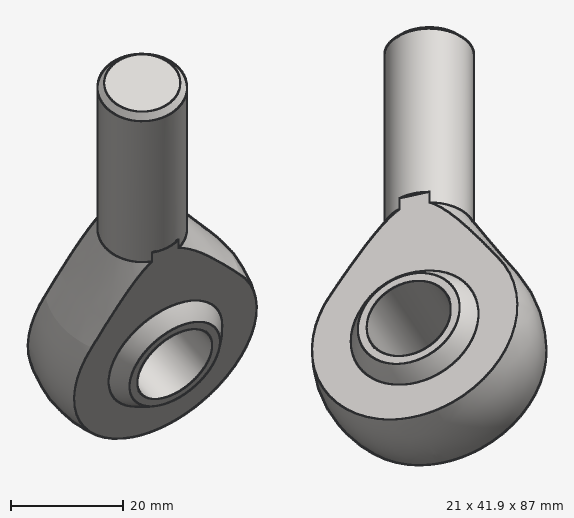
import cadquery as cq
import math

total_height = 87.0
head_diameter = 41.85
head_width = 15.0
ball_width = 21.0
ball_diameter = 28.5
bore_diameter = 16.0
shank_diameter = 16.0
shank_chamfer = 1.2
neck_bottom_z = 32.45
neck_top_z = 47.7
flats_top_z = 50.0

head_radius = head_diameter / 2
shank_radius = shank_diameter / 2
ball_radius = ball_diameter / 2
bore_radius = bore_diameter / 2
eye_z = head_radius
neck_bottom_radius = math.sqrt(head_radius**2 - (neck_bottom_z - eye_z) ** 2)


def make_body():
    """Spherical head, conical neck and chamfered shank turned about Z."""
    return (
        cq.Workplane("XZ")
        .moveTo(0, 0)
        .threePointArc((head_radius, eye_z), (neck_bottom_radius, neck_bottom_z))
        .lineTo(shank_radius, neck_top_z)
        .lineTo(shank_radius, total_height - shank_chamfer)
        .lineTo(shank_radius - shank_chamfer, total_height)
        .lineTo(0, total_height)
        .close()
        .revolve(360, (0, 0), (0, 1))
    )


def cut_flats(body):
    """Trim the head, neck and foot of the shank to two flat faces across X."""
    for side in (-1, 1):
        cutter = cq.Workplane("XY").box(
            head_radius, head_diameter, flats_top_z, centered=(True, True, False)
        )
        body = body.cut(cutter.translate((side * (head_width + head_radius) / 2, 0, 0)))
    return body


def make_ball():
    """Spherical bearing ring around X, flat at both ends and open along the bore."""
    half_width = ball_width / 2
    end_radius = math.sqrt(ball_radius**2 - half_width**2)
    return (
        cq.Workplane("XY")
        .moveTo(-half_width, bore_radius)
        .lineTo(-half_width, end_radius)
        .threePointArc((0, ball_radius), (half_width, end_radius))
        .lineTo(half_width, bore_radius)
        .close()
        .revolve(360, (0, 0), (1, 0))
        .translate((0, 0, eye_z))
    )


bore = (
    cq.Workplane("YZ")
    .center(0, eye_z)
    .circle(bore_radius)
    .extrude(ball_width / 2, both=True)
)

result = cut_flats(make_body()).cut(bore).union(make_ball())